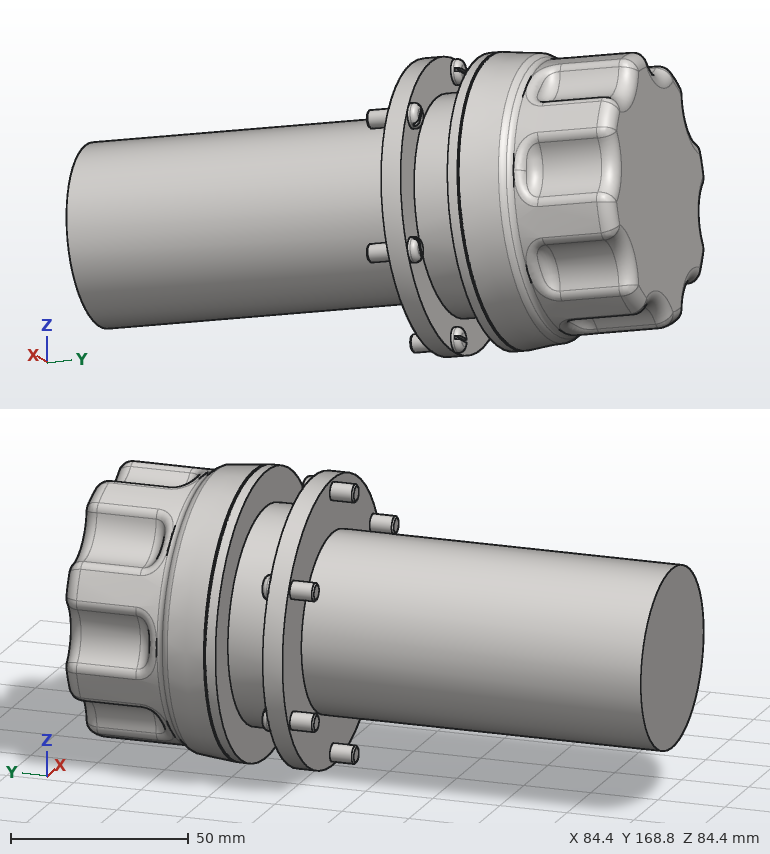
import cadquery as cq
import math


OUTER_R = 84.39 / 2
TOTAL_LENGTH = 168.77
FLANGE_THICKNESS = 5.9
NECK_R = 31.8
NECK_LENGTH = 14.1
TUBE_R = 26.35
RING_HEIGHT = 3.0
SEAT_HEIGHT = 0.5
SEAT_STEP = 0.6
SEAT_R = OUTER_R - SEAT_STEP

RING_BOTTOM_Y = FLANGE_THICKNESS + NECK_LENGTH
RING_TOP_Y = RING_BOTTOM_Y + RING_HEIGHT
CAP_BOTTOM_Y = RING_TOP_Y + SEAT_HEIGHT

CAP_HEIGHT = 44.0
CAP_TOP_Y = CAP_BOTTOM_Y + CAP_HEIGHT
GRIP_R = 39.0
GRIP_LENGTH = 28.8
SHOULDER_DROP = 3.8
SHOULDER_R = 41.0
SHOULDER_SLOPE = math.radians(46)
TOP_ROUND = 4.3

FLUTE_COUNT = 8
FLUTE_R = 11.4
FLUTE_AXIS_R = 45.1
FLUTE_LENGTH = 26.0
FLUTE_END_ROUND = 4.0
FLUTE_RIM_ROUND = 3.0

SCREW_COUNT = 6
SCREW_CIRCLE_R = 38.5
SHANK_R = 2.65
SHANK_PROJECTION = 7.0
SHANK_CHAMFER = 0.5
HEAD_R = 3.68
HEAD_HEIGHT = 2.5
HEAD_ROUND = 1.75
SLOT_WIDTH = 1.0
SLOT_DEPTH = 1.3

TOLERANCE = 0.01

TUBE_LENGTH = TOTAL_LENGTH - CAP_TOP_Y


def cylinder(radius, start_y, end_y):
    """Cylinder on the Y axis from start_y up to end_y."""
    return cq.Workplane("XZ", origin=(0, start_y, 0)).circle(radius).extrude(start_y - end_y)


def copies_about_axis(body, count):
    """Evenly spaced copies of a body about the Y axis."""
    return [body.rotate((0, 0, 0), (0, 1, 0), i * 360 / count) for i in range(count)]


def make_screw():
    """Slotted screw at the +Z side of the flange, head up, slot along the tangent."""
    shank = cylinder(SHANK_R, -SHANK_PROJECTION, FLANGE_THICKNESS).faces("<Y").chamfer(SHANK_CHAMFER)
    head_top_y = FLANGE_THICKNESS + HEAD_HEIGHT
    head = cylinder(HEAD_R, FLANGE_THICKNESS, head_top_y).faces(">Y").edges().fillet(HEAD_ROUND)
    slot = cq.Workplane("XY").box(2 * HEAD_R, 2 * SLOT_DEPTH, SLOT_WIDTH).translate((0, head_top_y, 0))
    return shank.union(head).cut(slot).translate((0, 0, SCREW_CIRCLE_R))


def make_housing():
    """Tube, flange, neck and cap ring as one solid, with one close-fitting hole per screw."""
    housing = (
        cylinder(TUBE_R, -TUBE_LENGTH, 0)
        .union(cylinder(OUTER_R, 0, FLANGE_THICKNESS))
        .union(cylinder(NECK_R, FLANGE_THICKNESS, RING_BOTTOM_Y))
        .union(cylinder(OUTER_R, RING_BOTTOM_Y, RING_TOP_Y))
        .union(cylinder(SEAT_R, RING_TOP_Y, CAP_BOTTOM_Y))
    )
    hole = cylinder(SHANK_R, 0, FLANGE_THICKNESS).translate((0, 0, SCREW_CIRCLE_R))
    for copy in copies_about_axis(hole, SCREW_COUNT):
        housing = housing.cut(copy)
    return housing


def make_cap_blank():
    """Revolved cap: cylindrical grip, S-curved shoulder and conical skirt."""
    shoulder_top_y = CAP_TOP_Y - GRIP_LENGTH
    shoulder_bottom_y = shoulder_top_y - SHOULDER_DROP
    hollow_y = shoulder_top_y - SHOULDER_DROP / 2
    hollow_r = GRIP_R + SHOULDER_DROP / 2 * math.tan(SHOULDER_SLOPE / 2)
    return (
        cq.Workplane("XY")
        .moveTo(0, CAP_TOP_Y)
        .lineTo(GRIP_R, CAP_TOP_Y)
        .lineTo(GRIP_R, shoulder_top_y)
        .tangentArcPoint((hollow_r, hollow_y), relative=False)
        .tangentArcPoint((SHOULDER_R, shoulder_bottom_y), relative=False)
        .lineTo(OUTER_R, CAP_BOTTOM_Y)
        .lineTo(0, CAP_BOTTOM_Y)
        .close()
        .revolve(360, (0, 0, 0), (0, 1, 0))
    )


def is_flute_rim(edge):
    """True for an edge where a flute wall or flute end meets the side of the grip."""
    points = [edge.startPoint(), edge.endPoint(), edge.Center()]
    on_grip = all(abs(math.hypot(p.x, p.z) - GRIP_R) < TOLERANCE for p in points[:2])
    above_flute_ends = all(p.y > CAP_TOP_Y - FLUTE_LENGTH - TOLERANCE for p in points)
    in_top_face = all(p.y > CAP_TOP_Y - TOLERANCE for p in points)
    return on_grip and above_flute_ends and not in_top_face


def make_cap():
    """Cap with rounded flutes and a rounded top edge."""
    cap = make_cap_blank()
    flute_end_y = CAP_TOP_Y - FLUTE_LENGTH
    flute = cylinder(FLUTE_R, flute_end_y, CAP_TOP_Y).faces("<Y").edges().fillet(FLUTE_END_ROUND)
    flute = flute.translate((0, 0, FLUTE_AXIS_R))
    for copy in copies_about_axis(flute, FLUTE_COUNT):
        cap = cap.cut(copy)
    rims = [edge for edge in cap.edges().vals() if is_flute_rim(edge)]
    cap = cap.newObject(rims).fillet(FLUTE_RIM_ROUND)
    return cap.faces(">Y").edges().fillet(TOP_ROUND)


housing = make_housing()
cap = make_cap()
screws = copies_about_axis(make_screw(), SCREW_COUNT)

result = cq.Compound.makeCompound([housing.val(), cap.val(), *[screw.val() for screw in screws]])